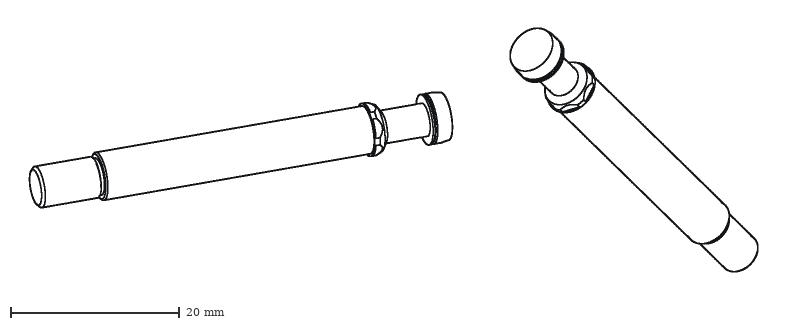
import cadquery as cq
import math

total_length = 52.1
tail_length = 7.4
relief_length = 0.5
body_length = 33.8
collar_length = 2.02
head_length = 3.0

tail_diameter = 5.0
relief_diameter = 4.5
body_diameter = 5.8
collar_diameter = 6.4
neck_diameter = 4.0
head_diameter = 6.1

tail_chamfer = 0.35
body_chamfer = 0.2

collar_rim_length = 0.65
collar_shallow_cone_length = 0.75
collar_shoulder_diameter = 5.75
flat_count = 6
flat_spacing = 360 / flat_count
flat_distance = 2.98
flat_stop_height = 0.15

dome_height = 0.5
dome_base_diameter = 5.8
head_taper_length = 0.95
groove_offset = 0.25
groove_width = 0.34
groove_depth = 0.15

relief_start = tail_length
body_start = relief_start + relief_length
collar_start = body_start + body_length
neck_start = collar_start + collar_length
head_start = total_length - head_length
dome_start = total_length - dome_height
groove_start = head_start + groove_offset


def make_turned_body():
    """Revolve the half section, drawn as (axial position, radius)."""
    tail_radius = tail_diameter / 2
    relief_radius = relief_diameter / 2
    body_radius = body_diameter / 2
    collar_radius = collar_diameter / 2
    neck_radius = neck_diameter / 2
    head_radius = head_diameter / 2
    dome_base_radius = dome_base_diameter / 2
    rim_end = collar_start + collar_rim_length

    dome_radius = (dome_base_radius**2 + dome_height**2) / (2 * dome_height)
    dome_half_angle = math.asin(dome_base_radius / dome_radius) / 2
    dome_middle = (
        total_length - dome_radius * (1 - math.cos(dome_half_angle)),
        dome_radius * math.sin(dome_half_angle),
    )
    section = (
        cq.Workplane("YZ")
        .moveTo(0, 0)
        .lineTo(0, tail_radius - tail_chamfer)
        .lineTo(tail_chamfer, tail_radius)
        .lineTo(relief_start, tail_radius)
        .lineTo(relief_start, relief_radius)
        .lineTo(body_start, relief_radius)
        .lineTo(body_start, body_radius - body_chamfer)
        .lineTo(body_start + body_chamfer, body_radius)
        .lineTo(collar_start, body_radius)
        .lineTo(collar_start, collar_radius)
        .lineTo(rim_end, collar_radius)
        .lineTo(rim_end + collar_shallow_cone_length, collar_shoulder_diameter / 2)
        .lineTo(neck_start, neck_radius)
        .lineTo(head_start, neck_radius)
        .lineTo(head_start, head_radius)
        .lineTo(groove_start, head_radius)
        .lineTo(groove_start + groove_width / 2, head_radius - groove_depth)
        .lineTo(groove_start + groove_width, head_radius)
        .lineTo(dome_start - head_taper_length, head_radius)
        .lineTo(dome_start, dome_base_radius)
        .threePointArc(dome_middle, (total_length, 0))
        .close()
    )
    return section.revolve(360, (0, 0, 0), (1, 0, 0))


def make_collar_flat(angle):
    """Block that cuts one flat on the collar; at angle 0 it faces +Z."""
    length = collar_length - flat_stop_height
    block = cq.Workplane("XY").box(
        collar_diameter, length, collar_diameter, centered=(True, False, False)
    )
    block = block.translate((0, collar_start + flat_stop_height, flat_distance))
    return block.rotate((0, 0, 0), (0, 1, 0), angle)


result = make_turned_body()
for index in range(flat_count):
    result = result.cut(make_collar_flat(index * flat_spacing))